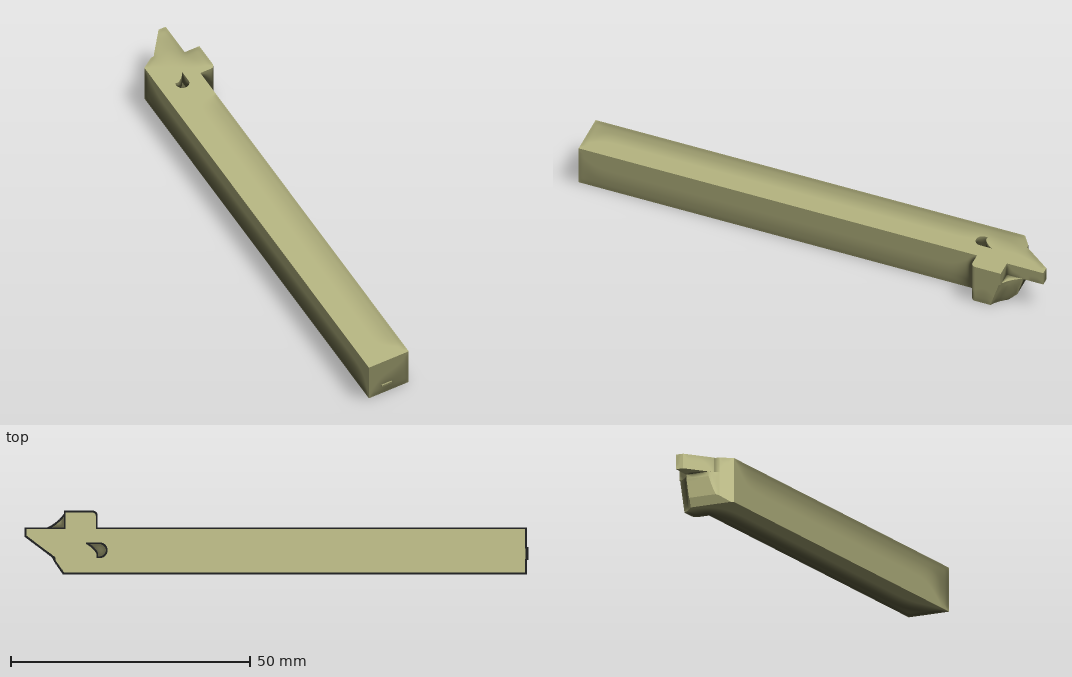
import cadquery as cq

overall_length = 105.0
shank_size = 9.53
end_key_length = 0.3
rear_x = overall_length - end_key_length

blade_thickness = 3.17
blade_floor_z = shank_size - blade_thickness
tip_width = 1.7
blade_side_end = (5.75, 3.5)
blade_notch = (6.05, 3.43)

flank_corner_x = 7.95
flank_flat_end = (6.2, 2.53)
flank_arc_middle = (5.75, 3.4)
nose_x = 4.75
flank_arc_end = (nose_x, 4.3)

band_bottom_z = 5.4
clearance_bottom = (5.9, 1.6)
chamfer_bottom_x = 7.6
clearance_run = (clearance_bottom[0] - nose_x) / (band_bottom_z - clearance_bottom[1])

overall_width = 13.03
ear_front_x = 8.2
ear_rear_x = 14.95
ear_corner_radius = 1.0

relief_start = (nose_x, shank_size)
relief_middle = (7.05, 11.1)
relief_end = (8.6, overall_width)

pocket_width = 2.9
pocket_center_y = 4.9
pocket_rear_x = 17.0
pocket_front_left_x = 12.8
pocket_front_middle = (14.25, 5.3)
pocket_front_arc_end = (15.0, 4.3)
pocket_depth = blade_thickness

end_key_width = 2.4
end_key_height = 0.5
end_key_center_y = 4.2
end_key_center_z = 2.4


def block(x_range, y_range, z_range):
    """Axis-aligned box between the given limits."""
    lows, highs = zip(x_range, y_range, z_range)
    sizes = [high - low for low, high in zip(lows, highs)]
    return cq.Workplane("XY").box(*sizes, centered=False).translate(lows)


def make_upper_layer():
    """Blade, shank and ear from the blade floor up to the top face."""
    return (
        cq.Workplane("XY", origin=(0, 0, blade_floor_z))
        .moveTo(0, shank_size)
        .lineTo(0, shank_size - tip_width)
        .lineTo(*blade_side_end)
        .lineTo(*blade_notch)
        .lineTo(*flank_flat_end)
        .lineTo(flank_corner_x, 0)
        .lineTo(rear_x, 0)
        .lineTo(rear_x, shank_size)
        .lineTo(ear_rear_x, shank_size)
        .lineTo(ear_rear_x, overall_width)
        .lineTo(ear_front_x, overall_width)
        .lineTo(ear_front_x, shank_size)
        .close()
        .extrude(blade_thickness)
    )


def make_flank_cutter():
    """Material removed from the lower layer beside the flank."""
    return (
        cq.Workplane("XY")
        .moveTo(flank_corner_x, 0)
        .lineTo(*flank_flat_end)
        .threePointArc(flank_arc_middle, flank_arc_end)
        .lineTo(0, flank_arc_end[1])
        .lineTo(0, 0)
        .close()
        .extrude(blade_floor_z)
    )


def make_nose_cutter():
    """Material removed ahead of the nose, across the full width."""
    return (
        cq.Workplane("XZ")
        .moveTo(nose_x, blade_floor_z)
        .lineTo(nose_x, band_bottom_z)
        .lineTo(*clearance_bottom)
        .lineTo(chamfer_bottom_x, 0)
        .lineTo(0, 0)
        .lineTo(0, blade_floor_z)
        .close()
        .extrude(-overall_width)
    )


def relief_section(z):
    """Outline removed under the ear at height z; it leans back with the clearance face."""
    shift = (blade_floor_z - z) * clearance_run
    points = [relief_start, relief_middle, relief_end]
    start, middle, end = [cq.Vector(x + shift, y, z) for x, y in points]
    corner = cq.Vector(start.x, end.y, z)
    return cq.Wire.assembleEdges([
        cq.Edge.makeThreePointArc(start, middle, end),
        cq.Edge.makeLine(end, corner),
        cq.Edge.makeLine(corner, start),
    ])


def make_relief_cutter():
    """Leaning concave relief beside the nose, together with the space ahead of it."""
    curved = cq.Solid.makeLoft([relief_section(0), relief_section(blade_floor_z)], True)
    ahead = (
        cq.Workplane("XZ", origin=(0, shank_size, 0))
        .moveTo(0, 0)
        .lineTo(nose_x + blade_floor_z * clearance_run, 0)
        .lineTo(nose_x, blade_floor_z)
        .lineTo(0, blade_floor_z)
        .close()
        .extrude(shank_size - overall_width)
    )
    return ahead.union(cq.Workplane(curved))


def make_lower_layer():
    """Shank, nose and ear below the blade floor."""
    heights = (0, blade_floor_z)
    shank = block((0, rear_x), (0, shank_size), heights)
    ear = block((0, ear_rear_x), (shank_size, overall_width), heights)
    layer = shank.union(ear)
    for cutter in (make_flank_cutter(), make_nose_cutter(), make_relief_cutter()):
        layer = layer.cut(cutter)
    return layer


def make_key_pocket():
    """Pocket cutter reaching down from the top face."""
    radius = pocket_width / 2
    left_y = pocket_center_y + radius
    right_y = pocket_center_y - radius
    round_x = pocket_rear_x - radius
    return (
        cq.Workplane("XY", origin=(0, 0, shank_size))
        .moveTo(pocket_front_left_x, left_y)
        .lineTo(round_x, left_y)
        .threePointArc((pocket_rear_x, pocket_center_y), (round_x, right_y))
        .lineTo(pocket_front_arc_end[0], right_y)
        .lineTo(*pocket_front_arc_end)
        .threePointArc(pocket_front_middle, (pocket_front_left_x, left_y))
        .close()
        .extrude(-pocket_depth)
    )


def make_end_key():
    """Raised key standing out of the rear end."""
    return block(
        (rear_x, overall_length),
        (end_key_center_y - end_key_width / 2, end_key_center_y + end_key_width / 2),
        (end_key_center_z - end_key_height / 2, end_key_center_z + end_key_height / 2),
    )


def ear_rear_corner(body):
    """Upright edge at the outer rear corner of the ear."""
    corner = (ear_rear_x, overall_width, shank_size / 2)
    return body.edges(cq.selectors.NearestToPointSelector(corner))


body = make_upper_layer().union(make_lower_layer()).clean()
body = ear_rear_corner(body).fillet(ear_corner_radius)
body = body.cut(make_key_pocket())
result = body.union(make_end_key())